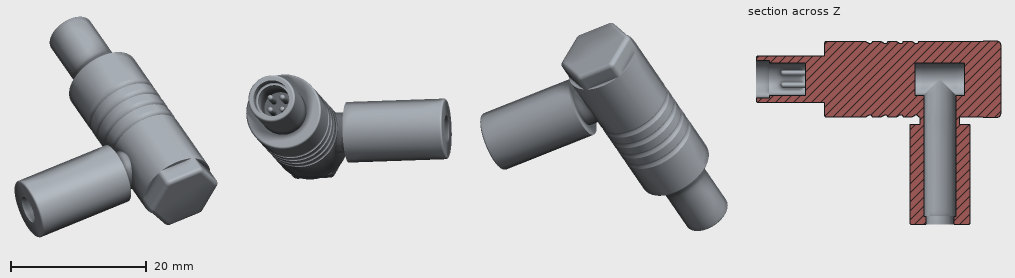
import cadquery as cq
import math

tube_radius = 3.5
tube_mouth_fillet = 0.3
bore_radius = 2.7
bore_depth = 1.87
socket_radius = 2.35
socket_depth = 7.2

pin_radius = 0.4
pin_length = 3.6
pin_tip_fillet = 0.35
pin_spacing = 1.8

body_start = 10.0
body_end = 33.37
body_diameter = 11.2
body_radius = body_diameter / 2
body_front_fillet = 0.3

groove_count = 4
groove_pitch = 2.25
first_groove_start = 16.05
groove_radius = 0.32
groove_slope_angle = math.radians(30)

cap_end = 36.0
cap_across_flats = 10.0
cap_corner_fillet = 0.8
cap_end_fillet = 0.65

outlet_x = 27.0
neck_radius = 2.95
sleeve_start = 6.6
sleeve_end = 21.4
sleeve_radius = 4.45
sleeve_end_fillet = 0.3
cable_hole_radius = 2.0
cable_hole_depth = 1.25

sleeve_bore_radius = 2.35

chamber_radius = 2.35
chamber_half_length = 3.6


def x_cylinder(radius, start, end):
    """Cylinder on the X axis between two x positions."""
    return cq.Workplane("YZ").workplane(offset=start).circle(radius).extrude(end - start)


def outlet_cylinder(radius, start, end):
    """Cylinder on the outlet axis, between two distances from the body axis."""
    plane = cq.Plane(origin=(outlet_x, -start, 0), xDir=(1, 0, 0), normal=(0, -1, 0))
    return cq.Workplane(plane).circle(radius).extrude(end - start)


def make_tube():
    tube = x_cylinder(tube_radius, 0, body_start)
    return tube.faces("<X").edges().fillet(tube_mouth_fillet)


def make_groove(start):
    """Ring to cut from the body, with its sloped side towards the tube."""
    trough_center = start + groove_radius / math.sin(groove_slope_angle)
    slope_end = (
        trough_center - groove_radius * math.sin(groove_slope_angle),
        body_radius - groove_radius * math.cos(groove_slope_angle),
    )
    return (
        cq.Workplane("XY")
        .moveTo(start, body_radius)
        .lineTo(*slope_end)
        .threePointArc(
            (trough_center, body_radius - groove_radius),
            (trough_center + groove_radius, body_radius),
        )
        .lineTo(trough_center + groove_radius, body_radius + groove_radius)
        .lineTo(start, body_radius + groove_radius)
        .close()
        .revolve(360, (0, 0, 0), (1, 0, 0))
    )


def make_body():
    body = x_cylinder(body_radius, body_start, body_end)
    body = body.faces("<X").edges().fillet(body_front_fillet)
    for index in range(groove_count):
        body = body.cut(make_groove(first_groove_start + index * groove_pitch))
    return body


def make_cap():
    across_corners = cap_across_flats / math.cos(math.radians(30))
    cap = (
        cq.Workplane("YZ")
        .workplane(offset=body_end)
        .polygon(6, across_corners)
        .extrude(cap_end - body_end)
    )
    cap = cap.edges("|X").fillet(cap_corner_fillet)
    return cap.faces(">X").edges().fillet(cap_end_fillet)


def make_outlet():
    neck = outlet_cylinder(neck_radius, 0, sleeve_start)
    sleeve = outlet_cylinder(sleeve_radius, sleeve_start, sleeve_end)
    sleeve = sleeve.faces("<Y").edges().fillet(sleeve_end_fillet)
    return neck.union(sleeve)


def make_pins():
    """Four round-tipped pins in a square pattern."""
    return (
        cq.Workplane("YZ")
        .workplane(offset=socket_depth)
        .rarray(pin_spacing, pin_spacing, 2, 2)
        .circle(pin_radius)
        .extrude(-pin_length)
        .faces("<X")
        .edges()
        .fillet(pin_tip_fillet)
    )


bore = x_cylinder(bore_radius, 0, bore_depth)
socket = x_cylinder(socket_radius, 0, socket_depth)
cable_hole = outlet_cylinder(cable_hole_radius, sleeve_end - cable_hole_depth, sleeve_end)
sleeve_bore = outlet_cylinder(sleeve_bore_radius, 0, sleeve_end - cable_hole_depth)
chamber = x_cylinder(chamber_radius, outlet_x - chamber_half_length, outlet_x + chamber_half_length)

result = make_tube().union(make_body()).union(make_cap()).union(make_outlet())
result = result.cut(bore).cut(socket).cut(cable_hole).cut(sleeve_bore).cut(chamber).union(make_pins())